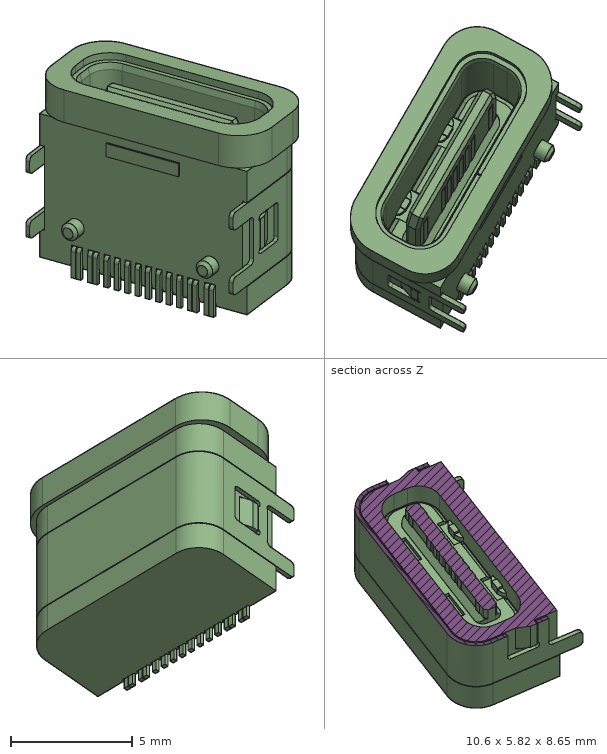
import cadquery as cq


BODY_WIDTH = 9.99
BODY_DEPTH = 4.56
BODY_REAR_RADIUS = 1.38
TOP_Z = 8.15
FRONT_Y = -BODY_DEPTH / 2

COLLAR_WIDTH = 10.64
COLLAR_DEPTH = 4.87
OVERALL_DEPTH = 5.82
COLLAR_RADIUS = 1.6
COLLAR_HEIGHT = 1.5

CORNER_X = 3.19
CORNER_Y = 0.32
MOUTH_RADIUS = 1.27
RIM_RADIUS = 1.05
CAVITY_RADIUS = 0.97
PLATEAU_BASE_RADIUS = 0.94
PLATEAU_RADIUS = 0.75
RIM_Z = TOP_Z - 0.33
LEAD_IN_HEIGHT = 0.3
SEAM_X = -0.27
SEAM_WIDTH = 0.05

TONGUE_WIDTH = 6.67
TONGUE_THICKNESS = 0.65
TONGUE_TOP_Z = TOP_Z - 0.63
TONGUE_LENGTH = 4.47
TONGUE_CORNER_CHAMFER = 0.15
TIP_WIDTH = 6.0
TIP_THICKNESS = 0.34
TIP_END_HEIGHT = 0.85
TIP_FACE_HEIGHT = 0.17
PLATEAU_Z = TONGUE_TOP_Z - TONGUE_LENGTH
FLOOR_Z = PLATEAU_Z - (PLATEAU_BASE_RADIUS - PLATEAU_RADIUS)
ROOT_THICKNESS = 1.19
ROOT_CORNER_RADIUS = 0.4

PITCH = 0.5
CONTACT_STEPS = (-5.5, -2.5, -1.5, -0.5, 0.5, 1.5, 2.5, 5.5)
CONTACT_WIDTH = 0.32
CONTACT_PROUD = 0.02
CONTACT_TOP_GAP = 0.96

POCKET_X = 1.78
POCKET_WIDTH = 1.35
POCKET_DEPTH = 0.52
BUMP_WIDTH = 1.11
BUMP_DEPTH = 0.26
BUMP_PAD_WIDTH = 0.46
BUMP_HEIGHT = 0.26
BUMP_PAD_HEIGHT = 0.36

PLATE_WIDTH = 3.48
PLATE_HEIGHT = 0.61
PLATE_TOP_Z = 6.17
FACE_PROUD = 0.09
PEG_X = 3.25
PEG_Z = 1.85
PEG_RADIUS = 0.39
PEG_LENGTH = 0.65
PEG_CHAMFER = 0.15

SINGLE_LEG_STEPS = (-3.5, -2.5, -1.5, -0.5, 0.5, 1.5, 2.5, 3.5)
DOUBLE_LEG_X = (-3.2, -2.4, 2.4, 3.2)
LEG_WIDTH = 0.21
LEG_THICKNESS = 0.18
LEG_TOP_Z = 0.93
LEG_BEND_RADIUS = 0.21
LEG_BEND_REACH = 0.32
LEG_TAIL = 0.5
DOUBLE_LEG_SPACING = 0.26
LEG_GAP = 0.03
SLOT_FLARE = 0.05
SLOT_FLARE_HEIGHT = 0.17

BRACKET_THICKNESS = 0.19
BRACKET_BOTTOM_Z = 1.34
BRACKET_TOP_Z = 5.16
BRACKET_GAP = 0.03
FOOT_TIP_Y = COLLAR_DEPTH / 2 - OVERALL_DEPTH
FOOT_HEIGHT = 0.82
FOOT_TIP_RADIUS = 0.21
NOTCH_Y = -1.76
NOTCH_RADIUS = 0.21
WINDOW_REAR_Y = 0.19
WINDOW_FRONT_Y = -1.23
WINDOW_BOTTOM_Z = 2.36
WINDOW_TOP_Z = 4.16
WINDOW_RADIUS = 0.16
RELIEF_RADIUS = 0.14
RELIEF_Y = -1.18

TOOTH_REAR_Y = -0.3
TOOTH_RIDGE_Y = -0.89
TOOTH_FRONT_Y = -1.2
TOOTH_HEIGHT = 1.43

GROOVE_DEPTH = BRACKET_THICKNESS + BRACKET_GAP


def box(x_range, y_range, z_range):
    (x0, x1), (y0, y1), (z0, z1) = x_range, y_range, z_range
    return cq.Workplane("XY").box(x1 - x0, y1 - y0, z1 - z0, centered=False).translate((x0, y0, z0))


def centered_box(x_center, width, y_range, z_range):
    return box((x_center - width / 2, x_center + width / 2), y_range, z_range)


def body_block(inset, front_y, z0, z1):
    """Block with rounded rear corners, inset at its sides and rear but not at its front."""
    half_width = BODY_WIDTH / 2 - inset
    rear_y = BODY_DEPTH / 2 - inset
    block = box((-half_width, half_width), (front_y, rear_y), (z0, z1))
    return block.edges("|Z and >Y").fillet(BODY_REAR_RADIUS - inset)


def mouth_outline(radius):
    """Rounded outline offset by a radius from the shared corner centres."""
    return cq.Sketch().rect(2 * (CORNER_X + radius), 2 * (CORNER_Y + radius)).vertices().fillet(radius)


def mouth_prism(radius, z0, z1):
    return cq.Workplane("XY", origin=(0, 0, z0)).placeSketch(mouth_outline(radius)).extrude(z1 - z0)


def mouth_taper(bottom_radius, top_radius, z0, z1):
    upper = mouth_outline(top_radius).moved(cq.Location(cq.Vector(0, 0, z1 - z0)))
    return cq.Workplane("XY", origin=(0, 0, z0)).placeSketch(mouth_outline(bottom_radius), upper).loft()


def make_collar():
    collar = box(
        (-COLLAR_WIDTH / 2, COLLAR_WIDTH / 2),
        (-COLLAR_DEPTH / 2, COLLAR_DEPTH / 2),
        (TOP_Z - COLLAR_HEIGHT, TOP_Z),
    )
    return collar.edges("|Z").fillet(COLLAR_RADIUS)


def cut_cavity(body):
    """Stepped mouth, tapered lead-in, straight cavity and the seam across the front rim."""
    lead_in_z = RIM_Z - LEAD_IN_HEIGHT
    seam_y_range = (-CORNER_Y - MOUTH_RADIUS, -CORNER_Y - CAVITY_RADIUS)
    body = body.cut(mouth_prism(MOUTH_RADIUS, RIM_Z, TOP_Z))
    body = body.cut(mouth_taper(CAVITY_RADIUS, RIM_RADIUS, lead_in_z, RIM_Z))
    body = body.cut(mouth_prism(CAVITY_RADIUS, FLOOR_Z, lead_in_z))
    return body.cut(centered_box(SEAM_X, SEAM_WIDTH, seam_y_range, (lead_in_z, RIM_Z)))


def make_plateau():
    """Plateau with sloping edges, cut away at the four spring pockets."""
    plateau = mouth_taper(PLATEAU_BASE_RADIUS, PLATEAU_RADIUS, FLOOR_Z, PLATEAU_Z)
    wall_y = CORNER_Y + CAVITY_RADIUS
    for x in (-POCKET_X, POCKET_X):
        for y_range in ((wall_y - POCKET_DEPTH, wall_y), (-wall_y, POCKET_DEPTH - wall_y)):
            plateau = plateau.cut(centered_box(x, POCKET_WIDTH, y_range, (FLOOR_Z, PLATEAU_Z)))
    return plateau


def make_bumps():
    """Half-elliptical bump with a taller square pad in each spring pocket, at the cavity wall."""
    wall_y = CORNER_Y + CAVITY_RADIUS
    bow = cq.Workplane("XY", origin=(0, wall_y, FLOOR_Z)).ellipse(BUMP_WIDTH / 2, BUMP_DEPTH)
    bow = bow.extrude(BUMP_HEIGHT)
    pad_z_range = (FLOOR_Z, FLOOR_Z + BUMP_PAD_HEIGHT)
    bump = bow.union(centered_box(0, BUMP_PAD_WIDTH, (wall_y - BUMP_DEPTH, wall_y), pad_z_range))
    rear_pair = bump.translate((-POCKET_X, 0, 0)).union(bump.translate((POCKET_X, 0, 0)))
    return rear_pair.union(rear_pair.mirror("XZ"))


def symmetric_outline(plane, half_profile):
    """Closed outline from (half width, height) points and their mirror images."""
    mirrored = [(-half, z) for half, z in reversed(half_profile)]
    return cq.Workplane(plane).polyline(half_profile + mirrored).close()


def make_tongue():
    """Tongue tapered at its tip, on a thicker root whose two faces slope up to it."""
    half_thickness = TONGUE_THICKNESS / 2
    half_root = ROOT_THICKNESS / 2
    side_profile = [
        (half_thickness, PLATEAU_Z),
        (half_thickness, TONGUE_TOP_Z - TIP_FACE_HEIGHT),
        (TIP_THICKNESS / 2, TONGUE_TOP_Z),
    ]
    front_profile = [
        (TONGUE_WIDTH / 2, PLATEAU_Z),
        (TONGUE_WIDTH / 2, TONGUE_TOP_Z - TIP_END_HEIGHT),
        (TIP_WIDTH / 2, TONGUE_TOP_Z),
    ]
    root_profile = [
        (half_root, PLATEAU_Z),
        (half_thickness, PLATEAU_Z + half_root - half_thickness),
    ]
    blade = symmetric_outline("XZ", front_profile).extrude(half_thickness, both=True)
    blade = blade.edges("not (|X or |Y)").chamfer(TONGUE_CORNER_CHAMFER)
    blade = blade.intersect(symmetric_outline("YZ", side_profile).extrude(TONGUE_WIDTH / 2, both=True))
    root = symmetric_outline("YZ", root_profile).extrude(TONGUE_WIDTH / 2, both=True)
    outline = cq.Workplane("XY", origin=(0, 0, PLATEAU_Z)).rect(TONGUE_WIDTH, ROOT_THICKNESS)
    root = root.intersect(outline.extrude(half_root).edges("|Z").fillet(ROOT_CORNER_RADIUS))
    return blade.union(root)


def make_contacts():
    """Strips slightly proud of both tongue faces."""
    half_span = TONGUE_THICKNESS / 2 + CONTACT_PROUD
    z_range = (PLATEAU_Z, TONGUE_TOP_Z - CONTACT_TOP_GAP)
    contacts = cq.Workplane("XY")
    for step in CONTACT_STEPS:
        contacts = contacts.union(
            centered_box(step * PITCH, CONTACT_WIDTH, (-half_span, half_span), z_range)
        )
    return contacts


def make_plate():
    z_range = (PLATE_TOP_Z - PLATE_HEIGHT, PLATE_TOP_Z)
    return centered_box(0, PLATE_WIDTH, (FRONT_Y - FACE_PROUD, FRONT_Y), z_range)


def make_pegs():
    """Two pegs with chamfered tips, pointing towards -Y."""
    face = cq.Workplane("XZ", origin=(0, FRONT_Y, 0)).pushPoints([(-PEG_X, PEG_Z), (PEG_X, PEG_Z)])
    return face.circle(PEG_RADIUS).extrude(PEG_LENGTH).faces("<Y").chamfer(PEG_CHAMFER)


def leg_slot(x, legs_width):
    """Slot in the mounting face round a leg or pair of legs, flared at the underside."""
    half_width = legs_width / 2 + LEG_GAP
    half_profile = [
        (half_width + SLOT_FLARE, 0),
        (half_width, SLOT_FLARE_HEIGHT),
        (half_width, LEG_TOP_Z + LEG_GAP),
    ]
    depth = LEG_THICKNESS - FACE_PROUD
    slot = symmetric_outline("XZ", half_profile).extrude(depth)
    return slot.translate((x, FRONT_Y + depth, 0))


def make_leg(x):
    """Leg lying on its slot floor, with its top bent back into the housing."""
    outer_y = FRONT_Y - FACE_PROUD
    leg = centered_box(x, LEG_WIDTH, (outer_y, outer_y + LEG_THICKNESS), (-LEG_TAIL, LEG_TOP_Z))
    bend_z_range = (LEG_TOP_Z - LEG_THICKNESS, LEG_TOP_Z)
    leg = leg.union(centered_box(x, LEG_WIDTH, (outer_y, outer_y + LEG_BEND_REACH), bend_z_range))
    return leg.edges("|X and >Z and <Y").fillet(LEG_BEND_RADIUS)


def add_legs(body):
    half_spacing = DOUBLE_LEG_SPACING / 2
    for step in SINGLE_LEG_STEPS:
        body = body.cut(leg_slot(step * PITCH, LEG_WIDTH))
        body = body.union(make_leg(step * PITCH))
    for x in DOUBLE_LEG_X:
        body = body.cut(leg_slot(x, LEG_WIDTH + DOUBLE_LEG_SPACING))
        body = body.union(make_leg(x - half_spacing)).union(make_leg(x + half_spacing))
    return body


def cut_bracket_groove(body):
    """Groove round the sides and rear, open at the mounting face."""
    z_range = (BRACKET_BOTTOM_Z - BRACKET_GAP, BRACKET_TOP_Z + BRACKET_GAP)
    band = body_block(0, FRONT_Y, *z_range)
    return body.cut(band.cut(body_block(GROOVE_DEPTH, FRONT_Y, *z_range)))


def make_teeth():
    """Wedge on each groove floor, ramped at the rear and flush with the housing side."""
    outer_x = BODY_WIDTH / 2
    floor_x = outer_x - GROOVE_DEPTH
    wedge_bottom_z = (WINDOW_BOTTOM_Z + WINDOW_TOP_Z - TOOTH_HEIGHT) / 2
    wedge = (
        cq.Workplane("XY", origin=(0, 0, wedge_bottom_z))
        .polyline(
            [
                (floor_x, TOOTH_REAR_Y),
                (outer_x, TOOTH_RIDGE_Y),
                (outer_x, TOOTH_FRONT_Y),
                (floor_x, TOOTH_FRONT_Y),
            ]
        )
        .close()
        .extrude(TOOTH_HEIGHT)
    )
    return wedge.union(wedge.mirror("YZ"))


def make_housing():
    body = body_block(0, FRONT_Y, 0, TOP_Z - COLLAR_HEIGHT).union(make_collar())
    body = cut_cavity(body)
    body = body.union(make_plateau()).union(make_bumps())
    body = body.union(make_tongue()).union(make_contacts())
    body = body.union(make_plate()).union(make_pegs())
    body = add_legs(body)
    return cut_bracket_groove(body).union(make_teeth())


def make_window_cutter():
    """Rounded window through both bracket sides, relieved at its two front corners."""
    x_range = (-BODY_WIDTH / 2, BODY_WIDTH / 2)
    relief_z = (WINDOW_BOTTOM_Z + RELIEF_RADIUS, WINDOW_TOP_Z - RELIEF_RADIUS)
    window = box(x_range, (RELIEF_Y, WINDOW_REAR_Y), (WINDOW_BOTTOM_Z, WINDOW_TOP_Z))
    window = window.edges("|X and >Y").fillet(WINDOW_RADIUS)
    window = window.union(box(x_range, (WINDOW_FRONT_Y, RELIEF_Y), relief_z))
    reliefs = cq.Workplane("YZ").pushPoints([(RELIEF_Y, z) for z in relief_z]).circle(RELIEF_RADIUS)
    return window.union(reliefs.extrude(BODY_WIDTH / 2, both=True))


def make_bracket():
    """U-shaped strip round the sides and rear, with two feet on each side and a latch window."""
    z_range = (BRACKET_BOTTOM_Z, BRACKET_TOP_Z)
    strip = body_block(0, FOOT_TIP_Y, *z_range)
    strip = strip.cut(body_block(BRACKET_THICKNESS, FOOT_TIP_Y, *z_range))
    notch = box(
        (-BODY_WIDTH / 2, BODY_WIDTH / 2),
        (FOOT_TIP_Y, NOTCH_Y),
        (BRACKET_BOTTOM_Z + FOOT_HEIGHT, BRACKET_TOP_Z - FOOT_HEIGHT),
    )
    strip = strip.cut(notch.edges("|X and >Y").fillet(NOTCH_RADIUS))
    strip = strip.faces("<Y").edges("|X").fillet(FOOT_TIP_RADIUS)
    return strip.cut(make_window_cutter())


housing = make_housing()
bracket = make_bracket()

result = cq.Compound.makeCompound([housing.val(), bracket.val()])